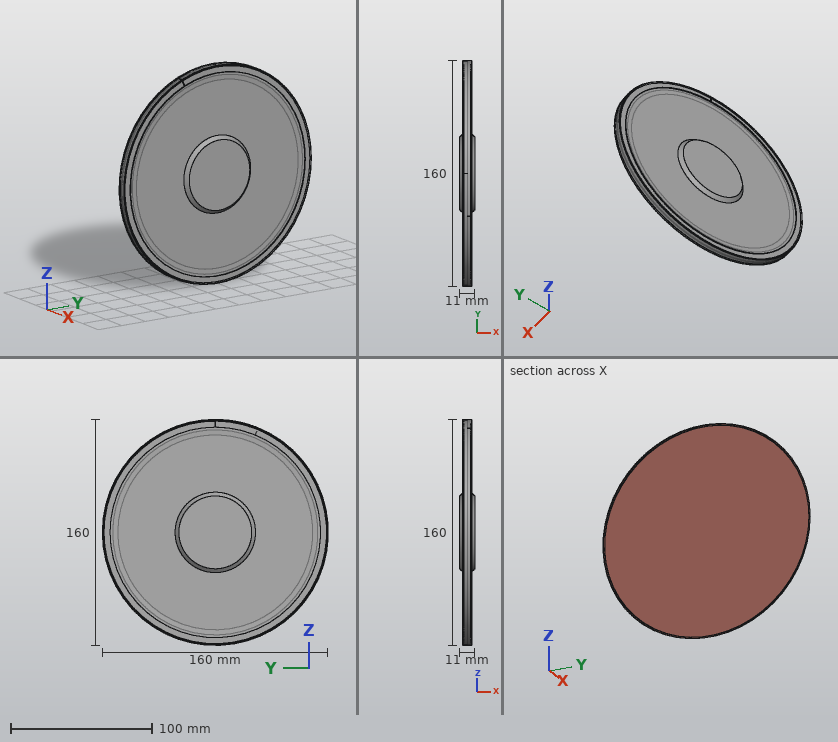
import cadquery as cq

band_radius = 80.0
band_half_width = 3.5
band_wall = 0.7
band_inner_radius = 74.5
edge_chamfer = 0.5
land_inner_radius = 72.6
web_radius = 69.0
web_drop = 0.2
hub_half_width = 5.5
hub_tip_radius = 25.8
hub_base_radius = 28.5
slit_width = 0.2
slit_stagger_angle = 22.3

rim_radius = band_radius - band_wall
rim_half_width = band_half_width - band_wall
web_half_width = rim_half_width - web_drop


def revolved(outline):
    """Turn an outline of (x, radius) points about the X axis."""
    return cq.Workplane("XY").polyline(outline).close().revolve(360, (0, 0, 0), (1, 0, 0))


def make_disc():
    """Web with a raised rim land and a conical hub, the same on both sides."""
    half_outline = [
        (hub_half_width, 0),
        (hub_half_width, hub_tip_radius),
        (web_half_width, hub_base_radius),
        (web_half_width, web_radius),
        (rim_half_width, land_inner_radius),
        (rim_half_width, rim_radius - edge_chamfer),
        (rim_half_width - edge_chamfer, rim_radius),
    ]
    mirrored_half = [(-x, radius) for x, radius in reversed(half_outline)]
    return revolved(half_outline + mirrored_half)


def make_band_half(side, slit_angle):
    """L-shaped half of the band on one side (-1 or +1) of the mid plane, cut by a narrow slit."""
    half = revolved([
        (0, band_radius),
        (side * (band_half_width - edge_chamfer), band_radius),
        (side * band_half_width, band_radius - edge_chamfer),
        (side * band_half_width, band_inner_radius),
        (side * rim_half_width, band_inner_radius),
        (side * rim_half_width, rim_radius - edge_chamfer),
        (side * (rim_half_width - edge_chamfer), rim_radius),
        (0, rim_radius),
    ])
    slit = (
        cq.Workplane("XY")
        .center(side * band_half_width / 2, 0)
        .rect(band_half_width, slit_width)
        .extrude(band_radius)
        .rotate((0, 0, 0), (1, 0, 0), slit_angle)
    )
    return half.cut(slit)


def make_band():
    """One closed band whose two halves have their slits staggered around the rim."""
    return make_band_half(-1, 0).union(make_band_half(1, slit_stagger_angle))


disc = make_disc()
band = make_band()

result = cq.Compound.makeCompound([disc.val(), *band.solids().vals()])